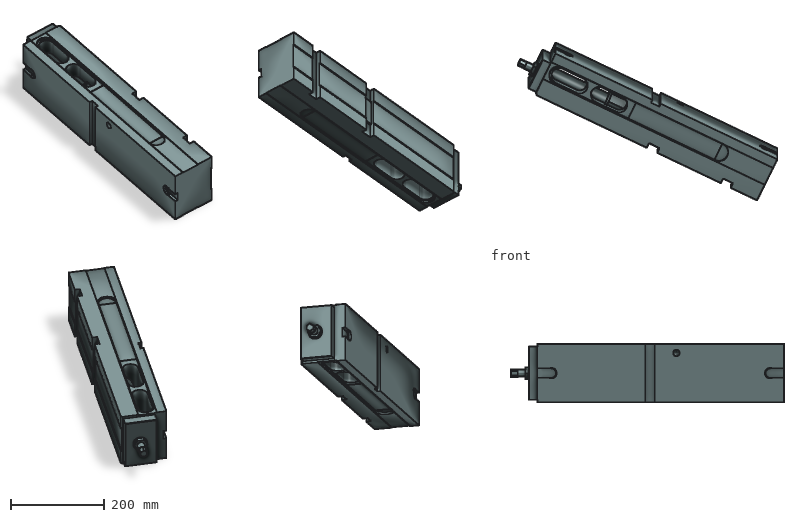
import cadquery as cq
import math

LENGTH = 530.0
DEPTH = 100.0
HEIGHT = 126.0
MID_Z = HEIGHT / 2
BACK_END_CHAMFER = 3.5

BACK_CHANNEL_HEIGHT = 60.0
BACK_CHANNEL_DEPTH = 2.0
NOTCH_DEPTH = 11.0
STEPPED_NOTCH_START = 266.5
STEPPED_NOTCH_WIDTH = 25.0
STEPPED_NOTCH_MIDDLE_DEPTH = 7.0
PLAIN_NOTCH_START = 443.5
PLAIN_NOTCH_WIDTH = 23.5

CHANNEL_Y = 41.5
CHANNEL_WIDTH = 41.0
CHANNEL_DEPTH = 1.0
POCKET_Y = 40.9
POCKET_WIDTH = 39.0
POCKET_START = 7.0
POCKET_END = 430.0
POCKET_DEPTH = 6.0
PAD_START = 203.0
PAD_END = 409.0
PAD_HEIGHT = 1.0
WINDOW_LENGTH = 83.0
WINDOW_WIDTH = 34.0
WINDOW_STARTS = (12.0, 106.5)

GROOVE_START = 231.5
GROOVE_WIDTH = 20.0
GROOVE_DEPTH = 7.0
SLOT_WIDTH = 20.0
SLOT_DEPTH = 7.0
SLOT_END_DIAMETER = 22.5
SLOT_END_DEPTH = 5.0
SLOT_REACH = 30.0
DRILL_X = 298.5
DRILL_Z = HEIGHT - 19.5
DRILL_DIAMETER = 14.0
DRILL_DEPTH = 20.0
DRILL_POINT_ANGLE = 118.0

AXIS_Y = 62.0
PLATE_THICKNESS = 19.1
PLATE_Y = 60.0
PLATE_WIDTH = 70.0
PLATE_HEIGHT = 115.0
PLATE_CHAMFER = 1.2
COLLAR_FLATS = 26.0
COLLAR_LENGTH = 7.0
RECESS_DIAMETER = 30.5
RECESS_DEPTH = 1.5
SHAFT_DIAMETER = 16.5
SHAFT_LENGTH = 16.0
DRIVE_HEX_FLATS = 14.5
DRIVE_HEX_LENGTH = 15.0
SPINDLE_DIAMETER = 44.0
FLANGE_START = 146.5
FLANGE_LENGTH = 5.0
HEAD_FLATS = 54.0
HEAD_END = 200.0


def block(x_start, x_end, y_start, y_end, z_start, z_end):
    """Rectangular block between the given limits."""
    size = (x_end - x_start, y_end - y_start, z_end - z_start)
    return cq.Workplane("XY").box(*size, centered=False).translate((x_start, y_start, z_start))


def upright_slot(x_start, x_end, y_centre, width, z_start, z_end):
    """Round-ended slot along X, extruded along Z."""
    return (
        cq.Workplane("XY", origin=((x_start + x_end) / 2, y_centre, z_start))
        .slot2D(x_end - x_start, width)
        .extrude(z_end - z_start)
    )


def axis_cylinder(x_start, length, diameter):
    """Cylinder on the drive axis."""
    return cq.Workplane("YZ", origin=(x_start, AXIS_Y, MID_Z)).circle(diameter / 2).extrude(length)


def axis_prism(x_start, length, sides, flats, turn):
    """Regular prism on the drive axis; with no turn one corner points along +Y."""
    corner_diameter = flats / math.cos(math.pi / sides)
    prism = cq.Workplane("YZ").polygon(sides, corner_diameter).extrude(length)
    return prism.rotate((0, 0, 0), (1, 0, 0), turn).translate((x_start, AXIS_Y, MID_Z))


def back_cuts():
    """Long channel and the two notches across the back face."""
    channel_bottom = MID_Z - BACK_CHANNEL_HEIGHT / 2
    channel_top = MID_Z + BACK_CHANNEL_HEIGHT / 2
    channel = block(0, LENGTH, DEPTH - BACK_CHANNEL_DEPTH, DEPTH, channel_bottom, channel_top)

    plain_end = PLAIN_NOTCH_START + PLAIN_NOTCH_WIDTH
    plain_notch = block(PLAIN_NOTCH_START, plain_end, DEPTH - NOTCH_DEPTH, DEPTH, 0, HEIGHT)

    stepped_end = STEPPED_NOTCH_START + STEPPED_NOTCH_WIDTH
    stepped_notch = block(STEPPED_NOTCH_START, stepped_end, DEPTH - NOTCH_DEPTH, DEPTH, 0, HEIGHT)
    step = block(
        STEPPED_NOTCH_START, stepped_end,
        DEPTH - NOTCH_DEPTH, DEPTH - STEPPED_NOTCH_MIDDLE_DEPTH,
        channel_bottom, channel_top,
    )
    return [channel, plain_notch, stepped_notch.cut(step)]


def top_cuts():
    """Channel and padded pocket in the top face."""
    channel = block(
        0, LENGTH,
        CHANNEL_Y - CHANNEL_WIDTH / 2, CHANNEL_Y + CHANNEL_WIDTH / 2,
        HEIGHT - CHANNEL_DEPTH, HEIGHT,
    )
    floor = HEIGHT - POCKET_DEPTH
    pocket = upright_slot(POCKET_START, POCKET_END, POCKET_Y, POCKET_WIDTH, floor, HEIGHT)
    pad = block(
        PAD_START, PAD_END,
        POCKET_Y - POCKET_WIDTH / 2, POCKET_Y + POCKET_WIDTH / 2,
        floor, floor + PAD_HEIGHT,
    )
    return [channel, pocket.cut(pad)]


def front_cuts():
    """Cross groove, the slots open at both ends and the drilled hole in the front face."""
    groove = block(GROOVE_START, GROOVE_START + GROOVE_WIDTH, 0, GROOVE_DEPTH, 0, HEIGHT)
    cuts = [groove]
    slot_bottom = MID_Z - SLOT_WIDTH / 2
    slot_top = MID_Z + SLOT_WIDTH / 2
    for x_start, x_end, round_x in (
        (0, SLOT_REACH, SLOT_REACH),
        (LENGTH - SLOT_REACH, LENGTH, LENGTH - SLOT_REACH),
    ):
        cuts.append(block(x_start, x_end, 0, SLOT_DEPTH, slot_bottom, slot_top))
        for diameter, depth in ((SLOT_WIDTH, SLOT_DEPTH), (SLOT_END_DIAMETER, SLOT_END_DEPTH)):
            round_end = cq.Workplane("XZ", origin=(round_x, 0, MID_Z)).circle(diameter / 2)
            cuts.append(round_end.extrude(-depth))

    radius = DRILL_DIAMETER / 2
    point_length = radius / math.tan(math.radians(DRILL_POINT_ANGLE / 2))
    drill = (
        cq.Workplane("XY")
        .polyline([(0, 0), (radius, 0), (radius, DRILL_DEPTH), (0, DRILL_DEPTH + point_length)])
        .close()
        .revolve(360, (0, 0), (0, 1))
        .translate((DRILL_X, 0, DRILL_Z))
    )
    cuts.append(drill)
    return cuts


def make_spindle():
    """Inner spindle with its flange and octagonal head; also the shape of its bore."""
    spindle = axis_cylinder(0, FLANGE_START, SPINDLE_DIAMETER)
    flange = axis_cylinder(FLANGE_START, FLANGE_LENGTH, HEAD_FLATS)
    head_start = FLANGE_START + FLANGE_LENGTH
    head = axis_prism(head_start, HEAD_END - head_start, 8, HEAD_FLATS, 180 / 8)
    return spindle.union(flange).union(head)


def make_housing():
    """Housing block with all its cuts and the bore for the spindle."""
    housing = block(0, LENGTH, 0, DEPTH, 0, HEIGHT)
    housing = housing.edges("|Z and <X and >Y").chamfer(BACK_END_CHAMFER)
    for cut in back_cuts() + front_cuts():
        housing = housing.cut(cut)
    for cut in top_cuts():
        housing = housing.cut(cut)
        housing = housing.cut(cut.mirror("XY", (0, 0, MID_Z)))
    for start in WINDOW_STARTS:
        end = start + WINDOW_LENGTH
        housing = housing.cut(upright_slot(start, end, CHANNEL_Y, WINDOW_WIDTH, 0, HEIGHT))
    return housing.cut(make_spindle())


def make_drive_unit():
    """Cover plate carrying the outer drive shaft and the inner spindle."""
    plate = block(
        -PLATE_THICKNESS, 0,
        PLATE_Y - PLATE_WIDTH / 2, PLATE_Y + PLATE_WIDTH / 2,
        MID_Z - PLATE_HEIGHT / 2, MID_Z + PLATE_HEIGHT / 2,
    )
    plate = plate.faces("<X").edges().chamfer(PLATE_CHAMFER)
    collar_start = -PLATE_THICKNESS - COLLAR_LENGTH
    shaft_start = collar_start - SHAFT_LENGTH
    hex_start = shaft_start - DRIVE_HEX_LENGTH
    plate = plate.cut(axis_cylinder(-PLATE_THICKNESS, RECESS_DEPTH, RECESS_DIAMETER))
    collar = axis_prism(collar_start, COLLAR_LENGTH + RECESS_DEPTH, 6, COLLAR_FLATS, 0)
    shaft = axis_cylinder(shaft_start, SHAFT_LENGTH, SHAFT_DIAMETER)
    drive_hex = axis_prism(hex_start, DRIVE_HEX_LENGTH, 6, DRIVE_HEX_FLATS, 180 / 6)
    return plate.union(collar).union(shaft).union(drive_hex).union(make_spindle())


housing = make_housing()
drive_unit = make_drive_unit()

result = cq.Compound.makeCompound([housing.val(), drive_unit.val()])